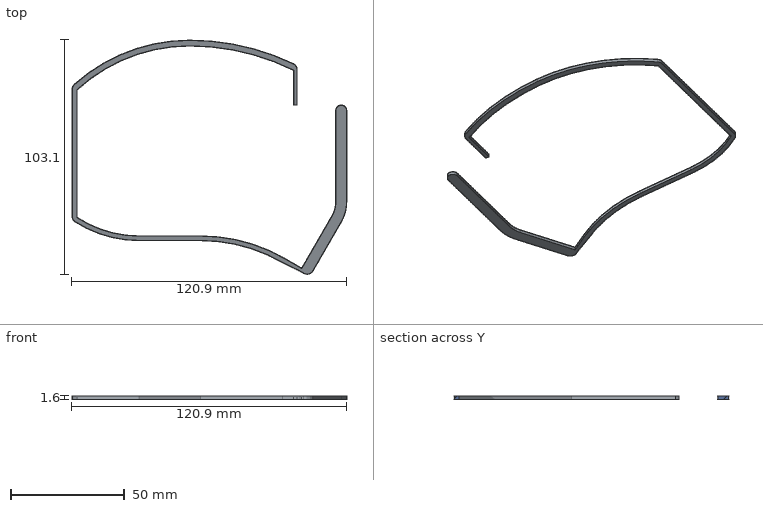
import cadquery as cq
import math

length = 120.94
width = 103.08
thickness = 1.6

top_band = 2.6
wall_band = 2.2
bottom_band = 2.1
tab_band = 1.6
arm_band = 4.9

crown_x = 51.8
top_left_radius = 76
top_right_radius = 105.5
tab_outer_x = 99.1
free_end_y = 74.5

flat_start_x = 29.5
flat_end_x = 56.6
flat_y = 14.8
bottom_left_radius = 52
tail_radius = 72.0

bend_angle = math.radians(30)
bend_inner_radius = 12.5
bend_y = 31.9
corner_radius = 3.0

cos_bend = math.cos(bend_angle)
sin_bend = math.sin(bend_angle)


def on_circle(center, radius, angle):
    return (center[0] + radius * math.cos(angle), center[1] + radius * math.sin(angle))


def arc_y(center, radius, x, side):
    """Height of a circle at x, on its upper (side = 1) or lower (side = -1) half."""
    return center[1] + side * math.sqrt(radius**2 - (x - center[0]) ** 2)


def arc_middle(center, radius, start, end):
    """Point of a circle halfway along the short arc from start to end."""
    dx = (start[0] + end[0]) / 2 - center[0]
    dy = (start[1] + end[1]) / 2 - center[1]
    return on_circle(center, radius, math.atan2(dy, dx))


def along(point, distance, direction):
    return (point[0] + distance * direction[0], point[1] + distance * direction[1])


top_left_center = (crown_x, width - top_left_radius)
top_right_center = (crown_x, width - top_right_radius)
bottom_left_center = (flat_start_x, flat_y + bottom_left_radius)
tail_center = (flat_end_x, flat_y - tail_radius)
bend_outer_radius = bend_inner_radius + arm_band
bend_center = (length - bend_outer_radius, bend_y)

down_arm = (-sin_bend, -cos_bend)
across_arm = (cos_bend, -sin_bend)

tab_inner_x = tab_outer_x - tab_band
top_left_inner_radius = top_left_radius - top_band
top_right_inner_radius = top_right_radius - top_band
crown_outer = (crown_x, width)
crown_inner = (crown_x, width - top_band)
tab_corner_outer = (tab_outer_x, arc_y(top_right_center, top_right_radius, tab_outer_x, 1))
tab_corner_inner = (tab_inner_x, arc_y(top_right_center, top_right_inner_radius, tab_inner_x, 1))
wall_top_outer = (0, arc_y(top_left_center, top_left_radius, 0, 1))
wall_top_inner = (wall_band, arc_y(top_left_center, top_left_inner_radius, wall_band, 1))

bottom_left_inner_radius = bottom_left_radius - bottom_band
tail_inner_radius = tail_radius + bottom_band
wall_bottom_outer = (0, arc_y(bottom_left_center, bottom_left_radius, 0, -1))
wall_bottom_inner = (wall_band, arc_y(bottom_left_center, bottom_left_inner_radius, wall_band, -1))
flat_start_outer = (flat_start_x, flat_y)
flat_end_outer = (flat_end_x, flat_y)
flat_start_inner = (flat_start_x, flat_y + bottom_band)
flat_end_inner = (flat_end_x, flat_y + bottom_band)
tail_angle = math.pi / 2 - bend_angle
tail_end_outer = on_circle(tail_center, tail_radius, tail_angle)
tail_end_inner = on_circle(tail_center, tail_inner_radius, tail_angle)

bend_end_outer = on_circle(bend_center, bend_outer_radius, -bend_angle)
bend_end_inner = on_circle(bend_center, bend_inner_radius, -bend_angle)
rounding_start = along(bend_end_outer, -corner_radius, across_arm)
foot_length = (rounding_start[1] - corner_radius) / cos_bend + corner_radius
foot_outer = along(bend_end_outer, foot_length, down_arm)
foot_inner = along(foot_outer, -arm_band, across_arm)
notch_run = (bend_end_inner[0] - tail_end_inner[0]) * across_arm[0]
notch_run += (bend_end_inner[1] - tail_end_inner[1]) * across_arm[1]
notch = along(tail_end_inner, notch_run, across_arm)

arm_inner_x = length - arm_band
arm_tip_radius = arm_band / 2
arm_shoulder_y = free_end_y - arm_tip_radius


def add_arc(outline, center, radius, start, end):
    return outline.threePointArc(arc_middle(center, radius, start, end), end)


def make_outline():
    """Closed outline of the band: outer edge from the tab to the arm, then back along the inner edge."""
    path = cq.Workplane("XY").moveTo(tab_outer_x, free_end_y).lineTo(*tab_corner_outer)
    path = add_arc(path, top_right_center, top_right_radius, tab_corner_outer, crown_outer)
    path = add_arc(path, top_left_center, top_left_radius, crown_outer, wall_top_outer)
    path = path.lineTo(*wall_bottom_outer)
    path = add_arc(path, bottom_left_center, bottom_left_radius, wall_bottom_outer, flat_start_outer)
    path = path.lineTo(*flat_end_outer)
    path = add_arc(path, tail_center, tail_radius, flat_end_outer, tail_end_outer)
    path = path.lineTo(*foot_inner).lineTo(*foot_outer).lineTo(*bend_end_outer)
    path = add_arc(path, bend_center, bend_outer_radius, bend_end_outer, (length, bend_y))
    path = path.lineTo(length, arm_shoulder_y)
    path = path.threePointArc((length - arm_tip_radius, free_end_y), (arm_inner_x, arm_shoulder_y))
    path = path.lineTo(arm_inner_x, bend_y)
    path = add_arc(path, bend_center, bend_inner_radius, (arm_inner_x, bend_y), bend_end_inner)
    path = path.lineTo(*notch).lineTo(*tail_end_inner)
    path = add_arc(path, tail_center, tail_inner_radius, tail_end_inner, flat_end_inner)
    path = path.lineTo(*flat_start_inner)
    path = add_arc(path, bottom_left_center, bottom_left_inner_radius, flat_start_inner, wall_bottom_inner)
    path = path.lineTo(*wall_top_inner)
    path = add_arc(path, top_left_center, top_left_inner_radius, wall_top_inner, crown_inner)
    path = add_arc(path, top_right_center, top_right_inner_radius, crown_inner, tab_corner_inner)
    return path.lineTo(tab_inner_x, free_end_y).close()


def round_corner(body, corner):
    """Round the upright edge of the body that stands on an outline corner."""
    edge = cq.selectors.NearestToPointSelector((corner[0], corner[1], thickness / 2))
    return body.edges("|Z").edges(edge).fillet(corner_radius)


result = make_outline().extrude(thickness)
for outer_corner in (tab_corner_outer, wall_top_outer, wall_bottom_outer, foot_outer):
    result = round_corner(result, outer_corner)